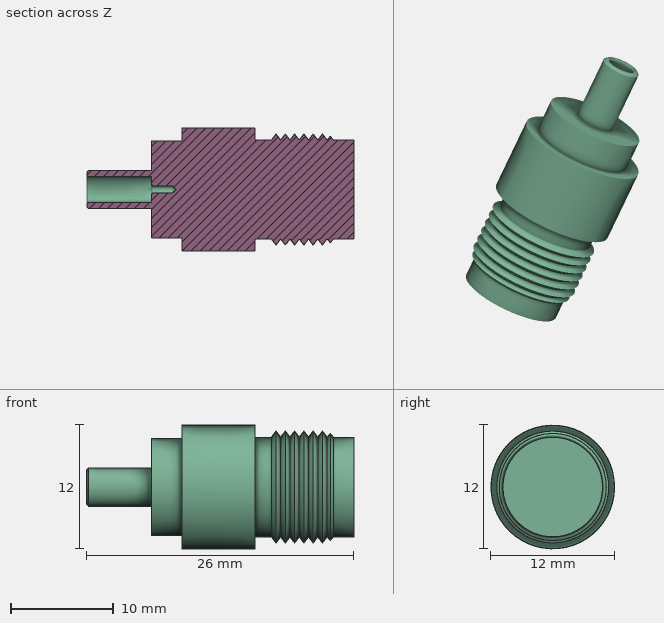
import cadquery as cq

total_length = 26.0
tube_end = 6.3
collar_end = 9.25
body_end = 16.38
thread_start = 17.97

tube_radius = 1.87
collar_radius = 4.73
body_radius = 6.0
neck_radius = 4.84
tube_chamfer = 0.2

full_rings_length = 5.4
full_ring_count = 6
thread_pitch = full_rings_length / full_ring_count
thread_crest_radius = 5.43
last_ring_width = 0.62
last_ring_crest_radius = 5.2

bore_radius = 1.25
bore_depth = tube_end
bore_countersink = 0.15
contact_hole_radius = 0.3
contact_hole_depth = 2.08
contact_countersink = 0.15
contact_cone_length = contact_hole_radius


def cylinder(start, end, radius):
    """Solid cylinder on the X axis between two stations."""
    return cq.Workplane("YZ").workplane(offset=start).circle(radius).extrude(end - start)


def revolve_profile(points):
    """Revolve a closed (x, radius) outline about the X axis."""
    return cq.Workplane("XY").polyline(points).close().revolve(360, (0, 0, 0), (1, 0, 0))


def thread_points():
    """Roots and crests of the thread, from the body towards the open end."""
    points = []
    for ring in range(full_ring_count):
        root = thread_start + ring * thread_pitch
        points.append((root, neck_radius))
        points.append((root + thread_pitch / 2, thread_crest_radius))
    last_root = thread_start + full_rings_length
    points.append((last_root, neck_radius))
    points.append((last_root + last_ring_width / 2, last_ring_crest_radius))
    points.append((last_root + last_ring_width, neck_radius))
    return points


def threaded_neck():
    """Neck from the body to the open end, with the thread in its outline."""
    return revolve_profile(
        [(body_end, 0), (body_end, neck_radius)]
        + thread_points()
        + [(total_length, neck_radius), (total_length, 0)]
    )


def cable_cavity():
    """Cable bore and cone-ended contact hole, both countersunk."""
    hole_end = bore_depth + contact_hole_depth
    return revolve_profile([
        (0, 0),
        (0, bore_radius + bore_countersink),
        (bore_countersink, bore_radius),
        (bore_depth, bore_radius),
        (bore_depth, contact_hole_radius + contact_countersink),
        (bore_depth + contact_countersink, contact_hole_radius),
        (hole_end, contact_hole_radius),
        (hole_end + contact_cone_length, 0),
    ])


tube = cylinder(0, tube_end, tube_radius).faces("<X").chamfer(tube_chamfer)
collar = cylinder(tube_end, collar_end, collar_radius)
body = cylinder(collar_end, body_end, body_radius)

result = tube.union(collar).union(body).union(threaded_neck()).cut(cable_cavity())